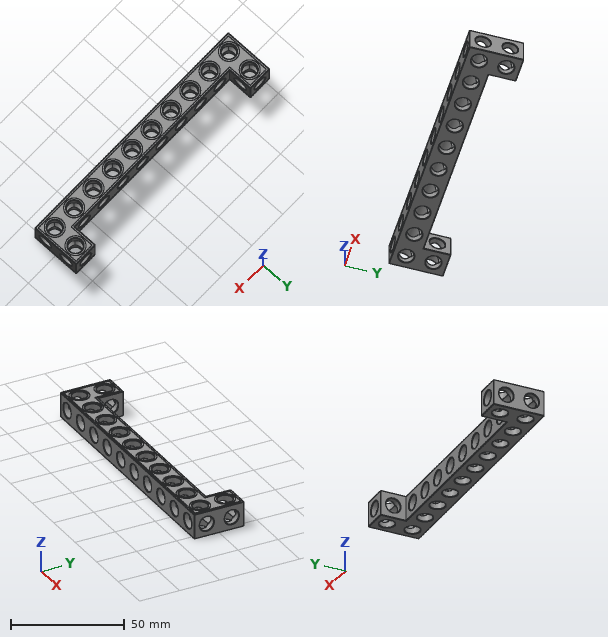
import cadquery as cq

pitch = 12.5
bar_cells = 10
leg_cells = 2
edge_chamfer = 0.3

hole_diameter = 7.0
mouth_diameter = hole_diameter + 2 * edge_chamfer

border_width = 1.1
ring_diameter = 9.2
panel_depth = 0.2

length = bar_cells * pitch
depth = leg_cells * pitch
height = pitch
half_cell = pitch / 2
far_leg = length - pitch


def frame_outline(inset):
    """Closed U-shaped outline, moved inward from the outer sides by inset."""
    return cq.Workplane("XY").polyline([
        (inset, inset),
        (length - inset, inset),
        (length - inset, depth - inset),
        (far_leg + inset, depth - inset),
        (far_leg + inset, pitch - inset),
        (pitch - inset, pitch - inset),
        (pitch - inset, depth - inset),
        (inset, depth - inset),
    ]).close()


def bore(start, direction, span):
    """Cutting tool for a through hole with a conical mouth at both ends."""
    start = cq.Vector(*start)
    direction = cq.Vector(*direction)
    end = start + direction * span
    tool = cq.Workplane(cq.Solid.makeCylinder(hole_diameter / 2, span, start, direction))
    for point, inward in ((start, direction), (end, -direction)):
        mouth = cq.Solid.makeCone(mouth_diameter / 2, hole_diameter / 2, edge_chamfer, point, inward)
        tool = tool.union(cq.Workplane(mouth))
    return tool


bar_centres = [half_cell + i * pitch for i in range(bar_cells)]
leg_centres = [half_cell + i * pitch for i in range(leg_cells)]
leg_positions = (bar_centres[0], bar_centres[-1])
upright_holes = [(x, half_cell) for x in bar_centres]
upright_holes += [(x, y) for x in leg_positions for y in leg_centres[1:]]

body = frame_outline(0).extrude(height)
outer_corners = body.edges("|Z").edges("<X or >X or >Y")
body = outer_corners.chamfer(edge_chamfer).faces("<Z or >Z").chamfer(edge_chamfer)

panel = frame_outline(border_width).extrude(panel_depth)
rings = cq.Workplane("XY").pushPoints(upright_holes).circle(ring_diameter / 2).extrude(panel_depth)
body = body.cut(panel.cut(rings).translate((0, 0, height - panel_depth)))

for x, y in upright_holes:
    body = body.cut(bore((x, y, 0), (0, 0, 1), height))

for x in bar_centres:
    span = depth if x in leg_positions else pitch
    body = body.cut(bore((x, 0, half_cell), (0, 1, 0), span))

body = body.cut(bore((0, half_cell, half_cell), (1, 0, 0), length))
for leg_side in (0, far_leg):
    for y in leg_centres[1:]:
        body = body.cut(bore((leg_side, y, half_cell), (1, 0, 0), pitch))

result = body